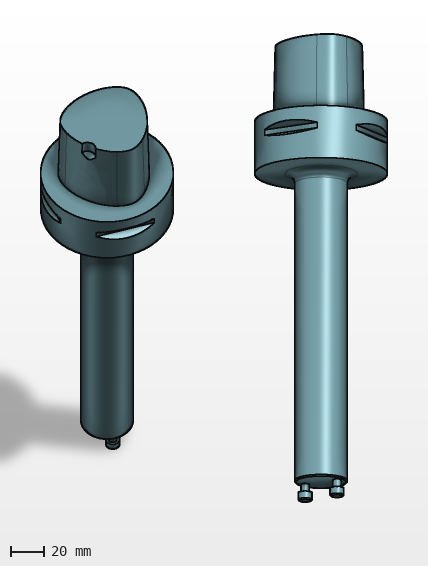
import cadquery as cq
import math

total_height = 282
collar_top = total_height - 47.7
collar_height = 32.5
collar_bottom = collar_top - collar_height
bar_bottom = 10.2

collar_diameter = 80.0
bar_diameter = 32.0
bar_fillet = 6.0
bar_chamfer = 0.8

lobe_diameter = 55.0
lobe_eccentricity = 2.0
taper_ratio = 1 / 20
flat_side_angle = 54
spline_points = 9

notch_radius = 5.0
notch_axis_y = -26.2
notch_depth = 8.0

groove_count = 4
first_groove_angle = 45
groove_floor_radius = 35.5
groove_floor_height = 3.5
groove_flank_angle = 30
groove_below_collar_top = 12.0
groove_overshoot = 2.8

screw_offset = 8.0
screw_diameter = 5.0
head_diameter = 8.5
head_height = 5.0
head_chamfer = 0.8


def lobe_point(diameter, angle):
    """Point of the three-lobed curve whose outward normal lies at the given angle from +Y."""
    reach = diameter / 2 + lobe_eccentricity * math.cos(3 * angle)
    slide = -3 * lobe_eccentricity * math.sin(3 * angle)
    x = -reach * math.sin(angle) - slide * math.cos(angle)
    y = reach * math.cos(angle) - slide * math.sin(angle)
    return cq.Vector(x, y, 0)


def lobe_wire(diameter, z):
    """Closed curve of six pieces, alternating lobes and flatter sides."""
    pieces = []
    flat_turn = math.radians(flat_side_angle)
    lobe_turn = 2 * math.pi / 3 - flat_turn
    start = -lobe_turn / 2
    for turn in (lobe_turn, flat_turn) * 3:
        steps = range(spline_points)
        angles = [start + turn * step / (spline_points - 1) for step in steps]
        points = [lobe_point(diameter, angle) for angle in angles]
        tangents = [cq.Vector(-math.cos(a), -math.sin(a), 0) for a in (angles[0], angles[-1])]
        pieces.append(cq.Edge.makeSpline(points, tangents))
        start += turn
    return cq.Wire.assembleEdges(pieces).translate(cq.Vector(0, 0, z))


def make_body():
    """Collar and bar, joined by a fillet."""
    bar = cq.Workplane("XY", origin=(0, 0, bar_bottom)).circle(bar_diameter / 2)
    bar = bar.extrude(collar_bottom - bar_bottom).faces("<Z").chamfer(bar_chamfer)
    collar = cq.Workplane("XY", origin=(0, 0, collar_bottom)).circle(collar_diameter / 2)
    body = bar.union(collar.extrude(collar_height))
    corner = cq.selectors.BoxSelector(
        (-bar_diameter, -bar_diameter, collar_bottom - bar_fillet),
        (bar_diameter, bar_diameter, collar_bottom + bar_fillet),
    )
    return body.edges(corner).edges(cq.selectors.RadiusNthSelector(0)).fillet(bar_fillet)


def make_shank():
    """Ruled taper between a large and a small three-lobed outline."""
    height = total_height - collar_top
    base = lobe_wire(lobe_diameter, collar_top)
    top = lobe_wire(lobe_diameter - height * taper_ratio, total_height)
    return cq.Workplane(cq.Solid.makeLoft([base, top], True))


def make_notch():
    """Upright round cutter with a 45 degree conical end."""
    shoulder = total_height - notch_depth
    profile = cq.Workplane("XZ", origin=(0, notch_axis_y, 0)).polyline([
        (0, total_height),
        (notch_radius, total_height),
        (notch_radius, shoulder),
        (0, shoulder - notch_radius),
    ])
    return profile.close().revolve(360, (0, 0), (0, 1))


def make_groove(direction):
    """Straight groove with a flat floor and sloping flanks, facing the given direction."""
    outer_radius = collar_diameter / 2 + groove_overshoot
    flank_rise = (outer_radius - groove_floor_radius) * math.tan(math.radians(groove_flank_angle))
    half_floor = groove_floor_height / 2
    half_mouth = half_floor + flank_rise
    profile = cq.Workplane("XZ", origin=(0, 0, collar_top - groove_below_collar_top)).polyline([
        (groove_floor_radius, -half_floor),
        (outer_radius, -half_mouth),
        (outer_radius, half_mouth),
        (groove_floor_radius, half_floor),
    ])
    groove = profile.close().extrude(collar_diameter / 2, both=True)
    return groove.rotate((0, 0, 0), (0, 0, 1), direction)


def make_screw(x, y):
    """Chamfered head hanging on a plain stem."""
    head = cq.Workplane("XY", origin=(x, y, 0)).circle(head_diameter / 2).extrude(head_height)
    head = head.faces("<Z").chamfer(head_chamfer)
    stem = cq.Workplane("XY", origin=(x, y, head_height)).circle(screw_diameter / 2)
    return head.union(stem.extrude(bar_bottom - head_height))


result = make_body().union(make_shank()).cut(make_notch())

for index in range(groove_count):
    result = result.cut(make_groove(first_groove_angle + index * 360 / groove_count))

for side in (-1, 1):
    result = result.union(make_screw(side * screw_offset, -side * screw_offset))